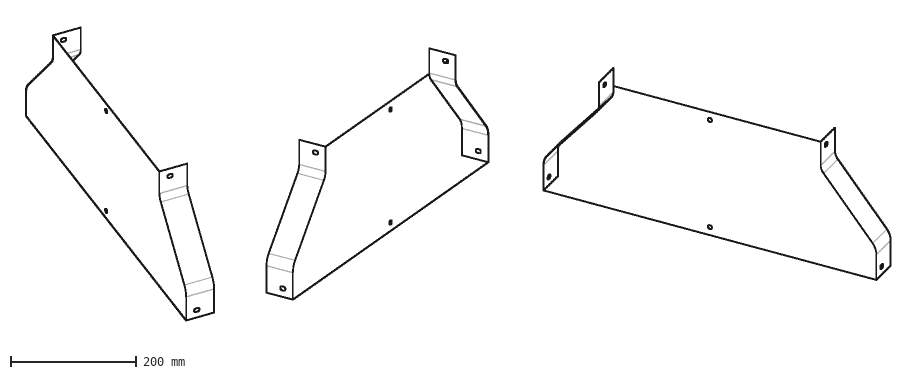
import cadquery as cq

length = 600.0
depth = 50.0
height = 230.0
sheet = 0.7

slope_inset = 100.0
lower_upright = 59.0
upper_upright = 51.0
lower_bend_radius = 30.0
upper_bend_radius = 21.0

hole_diameter = 7.0
flange_slot_length = 9.5
hole_edge_distance = 15.0
flange_slot_setback = 19.0

half_length = length / 2
top_half_length = half_length - slope_inset
slope_top = height - upper_upright
hole_heights = (hole_edge_distance, height - hole_edge_distance)


def solid_outline():
    """Full-depth block with the tapered outline and rounded side bends."""
    block = (
        cq.Workplane("XZ")
        .polyline([
            (-half_length, 0),
            (half_length, 0),
            (half_length, lower_upright),
            (top_half_length, slope_top),
            (top_half_length, height),
            (-top_half_length, height),
            (-top_half_length, slope_top),
            (-half_length, lower_upright),
        ])
        .close()
        .extrude(-depth)
    )
    for bend_height, x, radius in (
        (lower_upright, half_length, lower_bend_radius),
        (slope_top, top_half_length, upper_bend_radius),
    ):
        for side in (-1, 1):
            edge = cq.selectors.NearestToPointSelector((side * x, depth / 2, bend_height))
            block = block.edges("|Y").edges(edge).fillet(radius)
    return block


def hollow_tray(block):
    """Hollow the block to a front plate and two side flanges."""
    open_faces = block.faces(">Z or <Z or >Y")
    return open_faces.shell(-sheet, kind="intersection")


def plate_holes():
    """Holes through the plate on its centre line."""
    return (
        cq.Workplane("XZ")
        .pushPoints([(0, z) for z in hole_heights])
        .circle(hole_diameter / 2)
        .extrude(-depth)
    )


def flange_slots():
    """Short slots through both side flanges near their upper and lower ends."""
    return (
        cq.Workplane("YZ")
        .pushPoints([(flange_slot_setback, z) for z in hole_heights])
        .slot2D(flange_slot_length, hole_diameter)
        .extrude(half_length, both=True)
    )


result = hollow_tray(solid_outline()).cut(plate_holes()).cut(flange_slots())